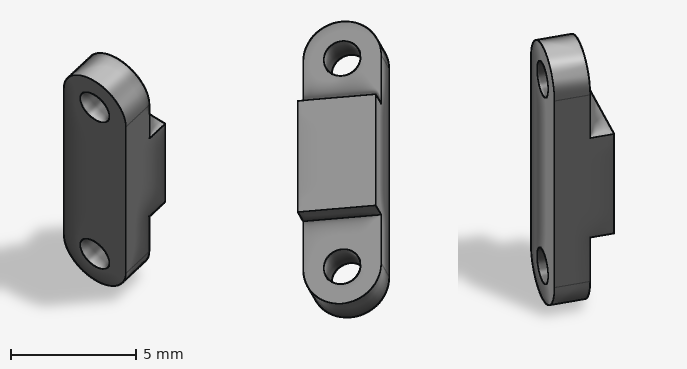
import cadquery as cq

length = 12.2
width = 3.2
plate_thickness = 1.5
hole_diameter = 1.5
block_depth = 1.0
block_height = 4.81

hole_spacing = length - width


def link_plate():
    """Upright plate with fully rounded ends; front face on Y = 0, thickness along +Y."""
    return cq.Workplane("XZ").slot2D(length, width, 90).extrude(-plate_thickness)


def rear_block():
    """Full-width rectangular block centred on the back of the plate."""
    return (
        cq.Workplane("XZ", origin=(0, plate_thickness, 0))
        .rect(width, block_height)
        .extrude(-block_depth)
    )


def end_holes():
    """Cutters for the through hole at each rounded end."""
    return (
        cq.Workplane("XZ")
        .pushPoints([(0, side * hole_spacing / 2) for side in (-1, 1)])
        .circle(hole_diameter / 2)
        .extrude(-plate_thickness)
    )


result = link_plate().union(rear_block()).cut(end_holes())